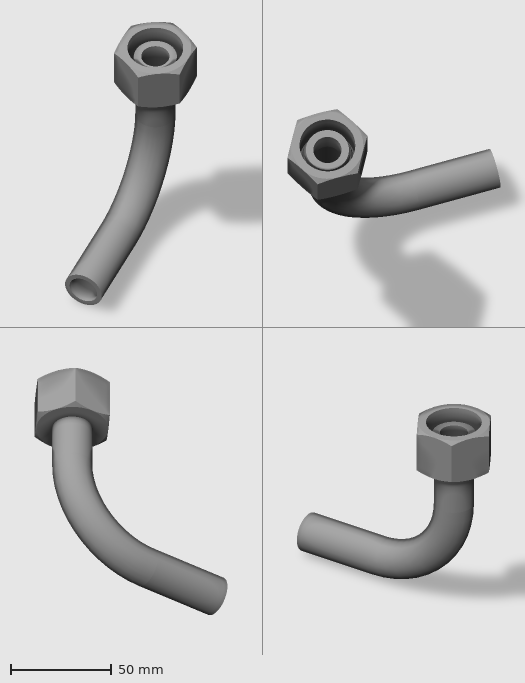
import cadquery as cq
import math

tube_diameter = 20.0
tube_bore = 15.0
bend_radius = 44.9
outlet_reach = 87.0
nut_top = 91.5

nut_across_flats = 36.0
nut_height = 24.0
nut_thread_bore = 27.8
nut_face_diameter = 35.8
nut_chamfer_angle = 30
nut_seat_height = 5.0

nipple_bore = 14
nipple_face_depth = 6.0
nipple_face_diameter = 21.5
nipple_base_diameter = 25.2
nipple_half_angle = 12
groove_offset = 3.9
groove_width = 2.0
groove_depth = 1.5

nut_bottom = nut_top - nut_height
nut_floor = nut_bottom + nut_seat_height
nipple_top = nut_top - nipple_face_depth
nut_corner_diameter = nut_across_flats / math.cos(math.radians(30))


def tube_path():
    """Centre line from the nut floor down and around to the open outlet."""
    bend_middle = bend_radius * (1 - math.cos(math.radians(45)))
    return (
        cq.Workplane("YZ")
        .moveTo(0, nut_floor)
        .lineTo(0, bend_radius)
        .threePointArc((-bend_middle, bend_middle), (-bend_radius, 0))
        .lineTo(-outlet_reach, 0)
    )


def swept_rod(diameter):
    """Solid round rod along the tube centre line."""
    profile = cq.Workplane("XY", origin=(0, 0, nut_floor)).circle(diameter / 2)
    return profile.sweep(tube_path())


def cylinder(diameter, bottom, top):
    """Cylinder on the nut axis."""
    return cq.Workplane("XY", origin=(0, 0, bottom)).circle(diameter / 2).extrude(top - bottom)


def revolved(points):
    """Revolve (radius, height) points about the nut axis."""
    return cq.Workplane("XZ").polyline(points).close().revolve(360, (0, 0, 0), (0, 1, 0))


def union_nut():
    """Hexagon with corners on Y, conically chamfered at both ends and bored from above."""
    hexagon = (
        cq.Workplane("XY", origin=(0, 0, nut_bottom))
        .transformed(rotate=(0, 0, 90))
        .polygon(6, nut_corner_diameter)
        .extrude(nut_height)
    )
    face_radius = nut_face_diameter / 2
    corner_radius = nut_corner_diameter / 2
    chamfer_height = (corner_radius - face_radius) * math.tan(math.radians(nut_chamfer_angle))
    envelope = revolved([
        (0, nut_bottom),
        (face_radius, nut_bottom),
        (corner_radius, nut_bottom + chamfer_height),
        (corner_radius, nut_top - chamfer_height),
        (face_radius, nut_top),
        (0, nut_top),
    ])
    return hexagon.intersect(envelope).cut(cylinder(nut_thread_bore, nut_floor, nut_top))


def nipple():
    """Nipple standing on the nut floor: tapered nose with a ring groove."""
    face_radius = nipple_face_diameter / 2
    base_radius = nipple_base_diameter / 2
    taper_slope = math.tan(math.radians(nipple_half_angle))
    taper_bottom = nipple_top - (base_radius - face_radius) / taper_slope
    groove_top = nipple_top - groove_offset
    groove_bottom = groove_top - groove_width
    upper_radius = face_radius + groove_offset * taper_slope
    lower_radius = upper_radius + groove_width * taper_slope
    groove_radius = upper_radius - groove_depth
    return revolved([
        (0, nut_floor),
        (base_radius, nut_floor),
        (base_radius, taper_bottom),
        (lower_radius, groove_bottom),
        (groove_radius, groove_bottom),
        (groove_radius, groove_top),
        (upper_radius, groove_top),
        (face_radius, nipple_top),
        (0, nipple_top),
    ])


nipple_passage = cylinder(nipple_bore, nut_floor, nut_top)
outer_body = swept_rod(tube_diameter).union(union_nut()).union(nipple())
result = outer_body.cut(swept_rod(tube_bore)).cut(nipple_passage)